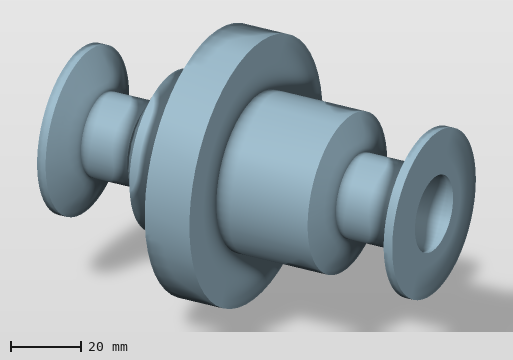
import cadquery as cq

length = 115.0
flange_diameter = 80.5
ferrule_diameter = 50.5
body_diameter = 48.0
neck_diameter = 25.4
bore_diameter = 23.0

ferrule_rim = 2.8
ferrule_taper = 4.7

body_start = 22.5
body_end = 90.0
front_taper = 6.7
rear_taper = 3.1
flange_start = 42.9
flange_thickness = 14.5


def turned_solid(points):
    """Revolve (station, radius) points, closed along the X axis, into a solid."""
    start = points[0][0]
    end = points[-1][0]
    outline = [(start, 0), *points, (end, 0)]
    return cq.Workplane("XY").polyline(outline).close().revolve(360, (0, 0, 0), (1, 0, 0))


def cylinder(start, end, diameter):
    return turned_solid([(start, diameter / 2), (end, diameter / 2)])


def ferrule():
    return turned_solid([
        (0, ferrule_diameter / 2),
        (ferrule_rim, ferrule_diameter / 2),
        (ferrule_rim + ferrule_taper, neck_diameter / 2),
    ])


def body():
    return turned_solid([
        (body_start, neck_diameter / 2),
        (body_start + front_taper, body_diameter / 2),
        (body_end - rear_taper, body_diameter / 2),
        (body_end, neck_diameter / 2),
    ])


front_ferrule = ferrule()
rear_ferrule = front_ferrule.mirror("YZ").translate((length, 0, 0))
neck = cylinder(0, length, neck_diameter)
flange = cylinder(flange_start, flange_start + flange_thickness, flange_diameter)
bore = cylinder(0, length, bore_diameter)

turned = neck.union(front_ferrule).union(rear_ferrule).union(body()).union(flange)

result = turned.cut(bore).translate((-length / 2, 0, 0))